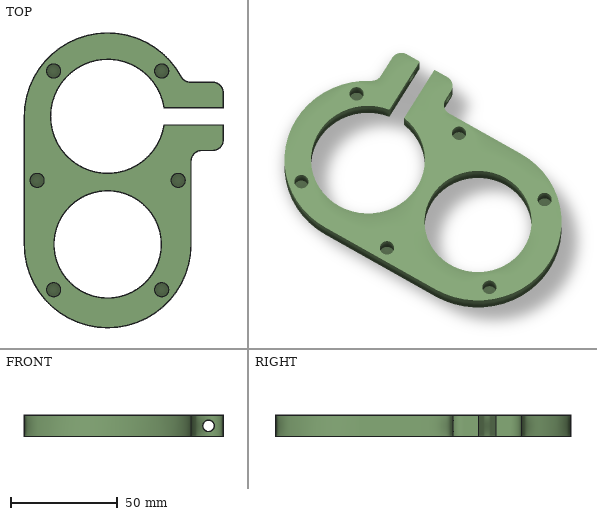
import cadquery as cq
import math

overall_length = 137.9
end_radius = 39.0
thickness = 10.0
center_spacing = overall_length - 2 * end_radius
half_spacing = center_spacing / 2

clamp_bore_diameter = 53.2
plain_bore_diameter = 50.0

lug_reach = 54.0
lug_width = 32.0
lug_fillet = 5.0
slot_width = 8.0
screw_diameter = 5.2
screw_x = 47.2

blind_diameter = 6.6
blind_depth = 8.0
blind_circle_radius = 33.0
blind_angle = math.radians(40)


def plate_with_lug():
    plate = (
        cq.Workplane("XY")
        .slot2D(overall_length, 2 * end_radius, 90)
        .extrude(thickness)
    )
    lug = (
        cq.Workplane("XY")
        .center(lug_reach / 2, half_spacing)
        .rect(lug_reach, lug_width)
        .extrude(thickness)
    )
    root_upper_x = math.sqrt(end_radius**2 - (lug_width / 2) ** 2)
    body = plate.union(lug)
    for x, side in ((lug_reach, 1), (lug_reach, -1), (root_upper_x, 1), (end_radius, -1)):
        corner = (x, half_spacing + side * lug_width / 2, thickness / 2)
        corner_edge = cq.selectors.NearestToPointSelector(corner)
        body = body.edges("|Z").edges(corner_edge).fillet(lug_fillet)
    return body


def bore(y, diameter):
    return cq.Workplane("XY").center(0, y).circle(diameter / 2).extrude(thickness)


def clamp_slot():
    return (
        cq.Workplane("XY")
        .center(lug_reach / 2, half_spacing)
        .rect(lug_reach, slot_width)
        .extrude(thickness)
    )


def screw_hole():
    return (
        cq.Workplane("XZ", origin=(screw_x, half_spacing, thickness / 2))
        .circle(screw_diameter / 2)
        .extrude(lug_width / 2, both=True)
    )


def blind_holes():
    end_x = blind_circle_radius * math.cos(blind_angle)
    end_y = half_spacing + blind_circle_radius * math.sin(blind_angle)
    points = []
    for side in (-1, 1):
        points += [(side * end_x, end_y), (side * blind_circle_radius, 0), (side * end_x, -end_y)]
    return (
        cq.Workplane("XY", origin=(0, 0, thickness - blind_depth))
        .pushPoints(points)
        .circle(blind_diameter / 2)
        .extrude(blind_depth)
    )


result = (
    plate_with_lug()
    .cut(bore(half_spacing, clamp_bore_diameter))
    .cut(bore(-half_spacing, plain_bore_diameter))
    .cut(clamp_slot())
    .cut(screw_hole())
    .cut(blind_holes())
)